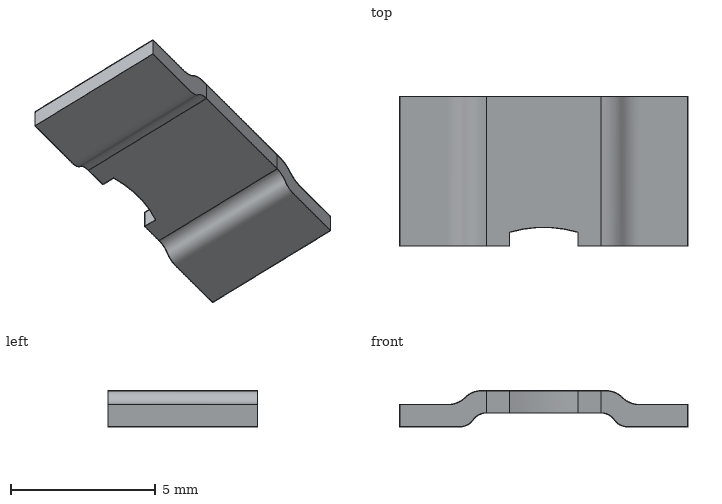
import cadquery as cq
import math

length = 10.0
width = 5.2
thickness = 0.78
rise = 0.48

half_length = length / 2
center_half_length = 1.99
upper_bend_run = 1.16
lower_bend_run = 0.92
upper_bend_setback = 0.16

notch_half_width = 1.18
notch_side_depth = 0.48
notch_crown_depth = 0.65

center_top = rise + thickness
upper_bend_start = center_half_length + upper_bend_setback
front_y = -width / 2


def bend_points(start_x, run, high_z):
    """Points on an S-bend that falls outward, made of two equal arcs level at the ends."""
    end_x = start_x + run
    low_z = high_z - rise
    bend_angle = 2 * math.atan(rise / run)
    radius = run / (2 * math.sin(bend_angle))
    mid_arc_run = radius * math.sin(bend_angle / 2)
    mid_arc_drop = radius * (1 - math.cos(bend_angle / 2))
    return [
        (start_x, high_z),
        (start_x + mid_arc_run, high_z - mid_arc_drop),
        (start_x + run / 2, high_z - rise / 2),
        (end_x - mid_arc_run, low_z + mid_arc_drop),
        (end_x, low_z),
    ]


def make_terminal():
    """Flat foot with the S-bend that climbs to the centre plate, at the +X end."""
    upper = bend_points(upper_bend_start, upper_bend_run, center_top)
    lower = bend_points(center_half_length, lower_bend_run, rise)
    return (
        cq.Workplane("XZ", origin=(0, width / 2, 0))
        .moveTo(center_half_length, center_top)
        .lineTo(*upper[0])
        .threePointArc(upper[1], upper[2])
        .threePointArc(upper[3], upper[4])
        .lineTo(half_length, thickness)
        .lineTo(half_length, 0)
        .lineTo(*lower[4])
        .threePointArc(lower[3], lower[2])
        .threePointArc(lower[1], lower[0])
        .close()
        .extrude(width)
    )


def make_center_plate():
    """Raised flat plate with a crowned notch in its front edge."""
    notch_side_y = front_y + notch_side_depth
    return (
        cq.Workplane("XY", origin=(0, 0, rise))
        .moveTo(-center_half_length, front_y)
        .lineTo(-notch_half_width, front_y)
        .lineTo(-notch_half_width, notch_side_y)
        .threePointArc((0, front_y + notch_crown_depth), (notch_half_width, notch_side_y))
        .lineTo(notch_half_width, front_y)
        .lineTo(center_half_length, front_y)
        .lineTo(center_half_length, -front_y)
        .lineTo(-center_half_length, -front_y)
        .close()
        .extrude(thickness)
    )


center_plate = make_center_plate()
terminals = []
for turn in (0, 180):
    terminal = make_terminal().rotate((0, 0, 0), (0, 0, 1), turn)
    terminals.append(terminal.val())

result = cq.Compound.makeCompound([center_plate.val(), *terminals])